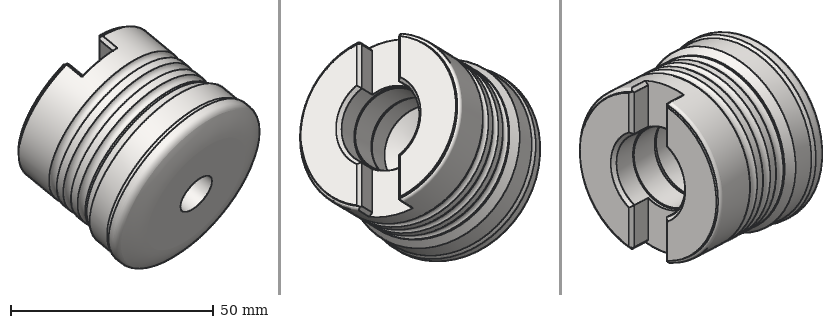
import cadquery as cq
import math

length = 40.25

body_radius = 23.05
shoulder_radius = 24.5
flange_radius = 25.0
end_face_radius = 17.1

rim_face_radius = 22.05
rim_round = 0.9
rim_band_end = 0.6
rim_round_radius = body_radius - rim_round

groove_count = 3
groove_start = 11.8
groove_width = 2.7
groove_depth = 0.75
groove_pitch = 5.0
groove_radius = ((groove_width / 2) ** 2 + groove_depth**2) / (2 * groove_depth)

cone_start = 25.05
cone_end = 27.55
shoulder_end = 33.6
flange_start = 34.7
flange_edge_drop = 0.3
flange_edge_start = 33.95
flange_end = 36.4
dome_start = 38.15
dome_start_radius = 24.15
dome_length = length - dome_start
dome_drop = dome_start_radius - end_face_radius
dome_arc_radius = (dome_length**2 + dome_drop**2) / (2 * dome_length)

entry_radius = 11.05
entry_depth = 7.3
entry_chamfer = 1.0
lip_radius = 10.7
lip_end = 15.2
flare_end = 16.25
chamber_radius = 11.05
chamber_depth = 22.5
hole_radius = 5.5
seat_half_angle = 59.0
seat_length = (chamber_radius - hole_radius) / math.tan(math.radians(seat_half_angle))

slot_width = 10.5
slot_depth = 6.3
slot_chamfer = 0.95
slot_half = slot_width / 2
slot_reach = flange_radius


def make_body():
    """Revolve the outer profile, drawn as (x, radius), about the X axis."""
    profile = (
        cq.Workplane("XY")
        .lineTo(0, rim_face_radius)
        .lineTo(rim_band_end, rim_round_radius)
        .radiusArc((rim_band_end + rim_round, body_radius), rim_round)
    )
    for index in range(groove_count):
        start = groove_start + index * groove_pitch
        bottom = (start + groove_width / 2, body_radius - groove_depth)
        profile = (
            profile.lineTo(start, body_radius)
            .radiusArc(bottom, -groove_radius)
            .radiusArc((start + groove_width, body_radius), -groove_radius)
        )
    profile = (
        profile.lineTo(cone_start, body_radius)
        .lineTo(cone_end, shoulder_radius)
        .lineTo(shoulder_end, shoulder_radius)
        .lineTo(flange_edge_start, flange_radius - flange_edge_drop)
        .lineTo(flange_start, flange_radius)
        .lineTo(flange_end, flange_radius)
        .tangentArcPoint((dome_start, dome_start_radius), relative=False)
        .radiusArc((length, end_face_radius), dome_arc_radius)
        .lineTo(length, 0)
        .close()
    )
    return profile.revolve(360, (0, 0, 0), (1, 0, 0))


def make_bore():
    """Stepped bore with a chamfered mouth, an inner lip and a conical seat."""
    points = [
        (0, 0),
        (0, entry_radius + entry_chamfer),
        (entry_chamfer, entry_radius),
        (entry_depth, entry_radius),
        (entry_depth, lip_radius),
        (lip_end, lip_radius),
        (flare_end, chamber_radius),
        (chamber_depth, chamber_radius),
        (chamber_depth + seat_length, hole_radius),
        (length, hole_radius),
        (length, 0),
    ]
    return cq.Workplane("XY").polyline(points).close().revolve(360, (0, 0, 0), (1, 0, 0))


def make_slot():
    """Slot along Z whose mouth edges are chamfered."""
    mouth_half = slot_half + slot_chamfer
    points = [
        (0, -mouth_half),
        (slot_chamfer, -slot_half),
        (slot_depth, -slot_half),
        (slot_depth, slot_half),
        (slot_chamfer, slot_half),
        (0, mouth_half),
    ]
    return cq.Workplane("XY").polyline(points).close().extrude(slot_reach, both=True)


def make_slot_end_chamfer(end):
    """Flared slot end at the outer wall, on the +Z (end=1) or -Z (end=-1) side."""
    mouth_half = slot_half + slot_chamfer
    wall_height = (body_radius**2 - mouth_half**2) ** 0.5
    flare = wall_height - mouth_half
    points = [
        (0, end * flare),
        (slot_reach, end * (flare + slot_reach)),
        (-slot_reach, end * (flare + slot_reach)),
    ]
    return cq.Workplane("YZ").polyline(points).close().extrude(slot_depth)


result = make_body().cut(make_bore()).cut(make_slot())
for slot_end in (1, -1):
    result = result.cut(make_slot_end_chamfer(slot_end))